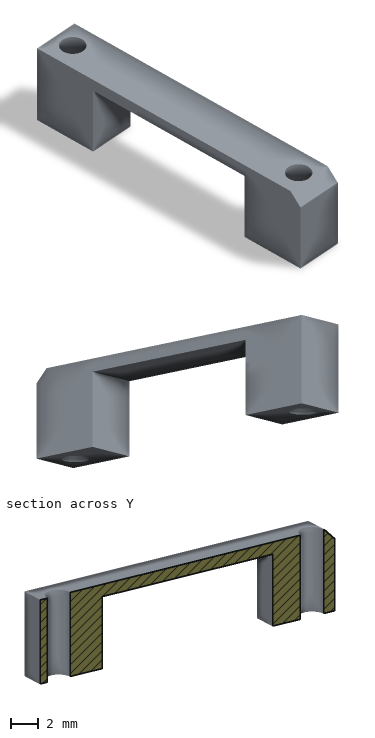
import cadquery as cq

length = 26.0
width = 4.0
height = 6.6

foot_length = 5.5
bridge_thickness = 1.0
chamfer_size = 1.0

hole_diameter = 2.0
left_hole_x = 1.66
hole_spacing = 22.3

bridge_underside = height - bridge_thickness
profile = [
    (0, 0),
    (foot_length, 0),
    (foot_length, bridge_underside),
    (length - foot_length, bridge_underside),
    (length - foot_length, 0),
    (length, 0),
    (length, height - chamfer_size),
    (length - chamfer_size, height),
    (0, height),
]
body = cq.Workplane("XZ").polyline(profile).close().extrude(width / 2, both=True)

hole_centres = [(left_hole_x, 0), (left_hole_x + hole_spacing, 0)]
holes = cq.Workplane("XY").pushPoints(hole_centres).circle(hole_diameter / 2).extrude(height)

result = body.cut(holes)